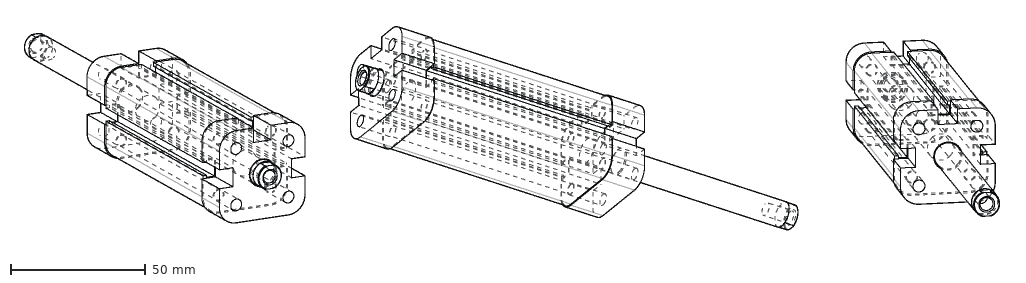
import cadquery as cq
import math

total_length = 189
front_rod_length = 76.0
rear_rod_length = 6.2
cap_length = 14.2

rod_start = -total_length / 2
rod_end = total_length / 2
front_cap_start = rod_start + front_rod_length
barrel_start = front_cap_start + cap_length
rear_cap_start = rod_end - rear_rod_length - cap_length
barrel_length = rear_cap_start - barrel_start

cap_width = 36
barrel_width = 35.0
corner_centre = 11.0
cap_corner_radius = cap_width / 2 - corner_centre
barrel_corner_radius = barrel_width / 2 - corner_centre
cap_bolt_hole_diameter = 4.5
barrel_bolt_hole_diameter = 4.0
bore_chamfer = 0.4

cap_slot_width = 7.4
cap_slot_floor = 12.3
barrel_slot_width = 6.6
barrel_slot_floor = 12.7
slot_mouth_width = 5.1
slot_lip_thickness = 1.5
slot_angles = (-90, 0, 90)

rod_diameter = 10.0
tip_length = 4.2
tip_diameter = 9.8
tip_chamfer = 0.28
across_flats = 9.0
rod_hole_diameter = 5.0
rod_hole_mouth_diameter = 6.0
rod_hole_depth = 11.3
drill_point_angle = 118


def block(width, corner_radius, bolt_hole_diameter, start, length):
    """Rounded square bar along X with a bore for the rod and four bolt holes."""
    bar = (
        cq.Workplane("YZ", origin=(start, 0, 0))
        .rect(width, width)
        .extrude(length)
        .edges("|X")
        .fillet(corner_radius)
    )
    bore = cq.Workplane("YZ", origin=(start, 0, 0)).circle(rod_diameter / 2).extrude(length)
    bolt_holes = (
        cq.Workplane("YZ", origin=(start, 0, 0))
        .rect(2 * corner_centre, 2 * corner_centre, forConstruction=True)
        .vertices()
        .circle(bolt_hole_diameter / 2)
        .extrude(length)
    )
    return bar.cut(bore).cut(bolt_holes)


def channel(width, floor, top, start, length):
    """Rectangular bar along X, used to cut a slot into the top face."""
    return cq.Workplane("XY", origin=(start, 0, floor)).box(
        length, width, top - floor, centered=(False, True, False)
    )


def cut_slots(body, slot):
    """Cut the slot into the top and both sides of the body."""
    for angle in slot_angles:
        body = body.cut(slot.rotate((0, 0, 0), (1, 0, 0), angle))
    return body


def make_cap(start, outer_face, inward):
    """End cap with plain slots; its bore is chamfered on the outer face, inward being +1 or -1 along X."""
    cap = block(cap_width, cap_corner_radius, cap_bolt_hole_diameter, start, cap_length)
    slot = channel(cap_slot_width, cap_slot_floor, cap_width / 2, start, cap_length)
    bore_radius = rod_diameter / 2
    chamfer_cone = cq.Solid.makeCone(
        bore_radius + bore_chamfer,
        bore_radius,
        bore_chamfer,
        pnt=cq.Vector(outer_face, 0, 0),
        dir=cq.Vector(inward, 0, 0),
    )
    return cut_slots(cap, slot).cut(cq.Workplane(chamfer_cone))


def make_barrel():
    """Middle body with lipped slots, held between the caps."""
    barrel = block(
        barrel_width, barrel_corner_radius, barrel_bolt_hole_diameter, barrel_start, barrel_length
    )
    surface = barrel_width / 2
    lip_underside = surface - slot_lip_thickness
    wide_part = channel(
        barrel_slot_width, barrel_slot_floor, lip_underside, barrel_start, barrel_length
    )
    mouth = channel(slot_mouth_width, barrel_slot_floor, surface, barrel_start, barrel_length)
    return cut_slots(barrel, wide_part.union(mouth))


def make_rod_tip_hole():
    """Countersunk blind hole with a drill point, entering the front tip of the rod."""
    radius = rod_hole_diameter / 2
    mouth_radius = rod_hole_mouth_diameter / 2
    point_length = radius / math.tan(math.radians(drill_point_angle / 2))
    return (
        cq.Workplane("XY")
        .moveTo(rod_start, 0)
        .lineTo(rod_start, mouth_radius)
        .lineTo(rod_start + mouth_radius - radius, radius)
        .lineTo(rod_start + rod_hole_depth, radius)
        .lineTo(rod_start + rod_hole_depth + point_length, 0)
        .close()
        .revolve(360, (0, 0, 0), (1, 0, 0))
    )


def make_rod_tip():
    """Front tip of the rod: a chamfered stub with wrench flats above and below."""
    stub = (
        cq.Workplane("YZ", origin=(rod_start, 0, 0))
        .circle(tip_diameter / 2)
        .extrude(tip_length)
        .faces("<X")
        .chamfer(tip_chamfer)
    )
    between_flats = (
        cq.Workplane("YZ", origin=(rod_start, 0, 0))
        .rect(tip_diameter, across_flats)
        .extrude(tip_length)
    )
    return stub.intersect(between_flats)


def make_rod():
    """Rod running through the whole cylinder, with both ends alike."""
    shaft_length = total_length - 2 * tip_length
    shaft = (
        cq.Workplane("YZ", origin=(-shaft_length / 2, 0, 0))
        .circle(rod_diameter / 2)
        .extrude(shaft_length)
    )
    tip = make_rod_tip()
    hole = make_rod_tip_hole()
    rod = shaft.union(tip).union(tip.mirror("YZ"))
    return rod.cut(hole).cut(hole.mirror("YZ"))


cap_places = (
    (front_cap_start, front_cap_start, 1),
    (rear_cap_start, rear_cap_start + cap_length, -1),
)
caps = [make_cap(start, outer_face, inward) for start, outer_face, inward in cap_places]
barrel = make_barrel()
rod = make_rod()

result = cq.Compound.makeCompound([*[cap.val() for cap in caps], barrel.val(), rod.val()])